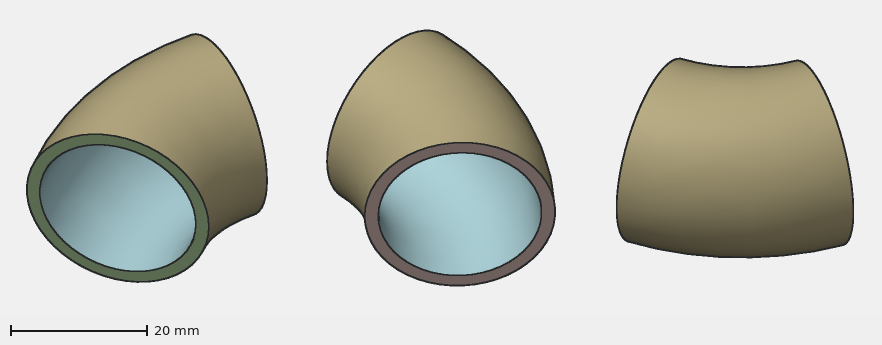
import cadquery as cq

outer_diameter = 28.0
wall_thickness = 2.0
bend_radius = 31.5
bend_angle = 45.0

inner_diameter = outer_diameter - 2 * wall_thickness


def tube_section():
    """Annular tube section in the XZ plane, centred on the origin."""
    section = cq.Workplane("XZ").circle(outer_diameter / 2)
    return section.circle(inner_diameter / 2)


def elbow():
    """Revolve the section from the XZ plane toward +Y, bending toward +X."""
    axis_start = (bend_radius, 0)
    axis_end = (bend_radius, -1)
    return tube_section().revolve(bend_angle, axis_start, axis_end)


result = elbow()